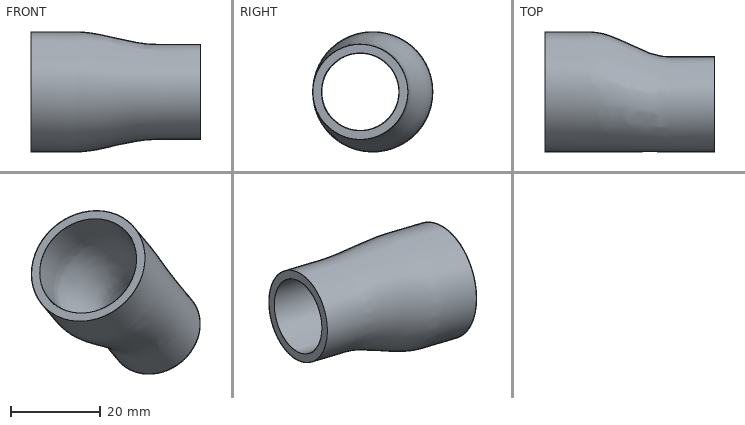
import cadquery as cq

total_length = 38.0
straight_length = 10.0
large_outer_diameter = 26.9
large_inner_diameter = 22.9
small_outer_diameter = 21.3
small_inner_diameter = 17.3
transition_steps = 10

transition_length = total_length - 2 * straight_length
small_end_offset = -(large_outer_diameter - small_outer_diameter) / 2


def blend(start, end, fraction):
    """Cubic S-curve from start to end with zero slope at both ends."""
    return start + (end - start) * fraction**2 * (3 - 2 * fraction)


def cylinder_along_x(diameter, x, y):
    return cq.Workplane("YZ", origin=(x, y, 0)).circle(diameter / 2).extrude(straight_length)


def transition(large_diameter, small_diameter):
    """Loft through circles whose diameter and centre follow the S-curve."""
    sections = []
    for step in range(transition_steps + 1):
        fraction = step / transition_steps
        x = straight_length + transition_length * fraction
        y = blend(0, small_end_offset, fraction)
        radius = blend(large_diameter, small_diameter, fraction) / 2
        sections.append(cq.Wire.makeCircle(radius, cq.Vector(x, y, 0), cq.Vector(1, 0, 0)))
    return cq.Workplane(cq.Solid.makeLoft(sections))


def reducer_solid(large_diameter, small_diameter):
    """Solid envelope: large cylinder, S-shaped transition, small cylinder."""
    large_end = cylinder_along_x(large_diameter, 0, 0)
    small_end = cylinder_along_x(small_diameter, total_length - straight_length, small_end_offset)
    return large_end.union(transition(large_diameter, small_diameter)).union(small_end)


outer_body = reducer_solid(large_outer_diameter, small_outer_diameter)
bore = reducer_solid(large_inner_diameter, small_inner_diameter)

result = outer_body.cut(bore)